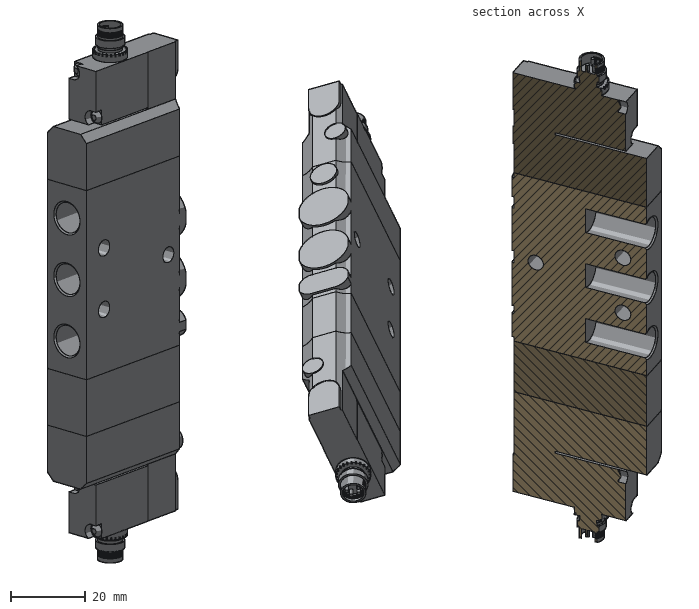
import cadquery as cq
import math

TOTAL_LENGTH = 152.4
STACK_TOP = 50.6
JOINT_Z = 35.0
SPACER_LENGTH = 16.2
VALVE_TOP = JOINT_Z
VALVE_BOTTOM = -JOINT_Z + SPACER_LENGTH
VALVE_MID = (VALVE_TOP + VALVE_BOTTOM) / 2

WIDTH = 14.0
HALF_WIDTH = WIDTH / 2
DEPTH = 39.8
SHOULDER_Y = 37.8
CREST_HALF_WIDTH = 3.4
FLANK_RADIUS = 6.9
END_CHAMFER = 2.1

PORT_DIAMETER = 8.5
PORT_RIM_DIAMETER = 9.5
PORT_DEPTH = 18.3
PORT_PITCH = 17.5
FRONT_MOUNT_DIAMETER = 4.5
FRONT_MOUNT_Y = 7.2
REAR_MOUNT_DIAMETER = 4.4
REAR_MOUNT_Y = 33.2
PAD_Y = 40.4
PAD_ROOT_Y = 36.5
PAD_DIAMETER = 14.5
PAD_CENTERS_Z = [VALVE_MID + PORT_PITCH / 2, VALVE_MID - PORT_PITCH / 2]
ROUND_PAD_DIAMETER = 7.6
ROUND_PAD_Z = 30.3
SLOT_PAD_Z = -13.7

COIL_WIDTH = 9.8
COIL_FRONT = 6.2
COIL_TOP = 66.9
COIL_BASE_FRONT = 27.5
COIL_BASE_STEP = 0.08
COIL_GAP = 0.5
COVER_Y = 40.1
COVER_WIDTH = 8.8
COVER_LENGTH = 12.3
BUTTON_DIAMETER = 6.0
BUTTON_X = -3.2
BUTTON_Z = 47.0

SCREW_X = 3.2
SCREW_INSET_Z = 2.0
SCREW_POCKET_DIAMETER = 4.4
SCREW_POCKET_DEPTH = 2.3
SCREW_HEAD_DIAMETER = 3.7
SCREW_TIP_DIAMETER = 1.5
SCREW_HEAD_HEIGHT = 1.2

PLUG_Y = 17.5
PLUG_TOP = TOTAL_LENGTH / 2
PLUG_DIAMETER = 6.9
COLLAR_DIAMETER = 9.5
COLLAR_FOOT_RADIUS = 0.3
COLLAR_TOP = 69.2
NECK_DIAMETER = 6.5
NECK_TOP = 70.0
RING_DIAMETER = 8.0
RING_BOTTOM = 70.7
RING_TOP = 72.8
NOTCH_COUNT = 24
NOTCH_WIDTH = 0.3
NOTCH_DEPTH = 0.5
NOTCH_HEIGHT = 0.6
SOCKET_DIAMETER = 5.8
SOCKET_DEPTH = 3.0
PIN_DIAMETER = 1.0
PIN_HEIGHT = 2.1
PIN_PLACES = [(-1.7, 0.5), (1.7, 0.5), (-1.0, -1.4), (1.0, -1.4)]
THREAD_DEPTH = 0.3
THREAD_WIDTH = 0.3
THREAD_PITCH = 0.6
THREAD_COUNT = 3
THREAD_START = 73.5
THREAD_BACK = 0.9


def block(x_size, y_min, y_max, z_min, z_max):
    """Box centred on X = 0."""
    box = cq.Workplane("XY").box(x_size, y_max - y_min, z_max - z_min, centered=(True, False, False))
    return box.translate((0, y_min, z_min))


def rod_y(diameter, x, z, y_min, y_max):
    """Cylinder along Y."""
    return cq.Workplane("XZ", origin=(x, y_min, z)).circle(diameter / 2).extrude(y_min - y_max)


def cone_y(front_diameter, rear_diameter, x, z, y_min, y_max):
    """Cone frustum along Y."""
    place = cq.Vector(x, y_min, z)
    along_y = cq.Vector(0, 1, 0)
    return cq.Workplane(
        cq.Solid.makeCone(front_diameter / 2, rear_diameter / 2, y_max - y_min, place, along_y)
    )


def rod_z(diameter, z_min, z_max, x=0.0, y=PLUG_Y):
    """Cylinder along Z, on the plug axis unless placed elsewhere."""
    return cq.Workplane("XY", origin=(x, y, z_min)).circle(diameter / 2).extrude(z_max - z_min)


def stack_segment(z_min, z_max):
    """Piece of the stack: a bar whose rear rises in two hollow flanks to a flat crest."""
    return (
        cq.Workplane("XY", origin=(0, 0, z_min))
        .moveTo(-HALF_WIDTH, 0)
        .lineTo(HALF_WIDTH, 0)
        .lineTo(HALF_WIDTH, SHOULDER_Y)
        .radiusArc((CREST_HALF_WIDTH, DEPTH), FLANK_RADIUS)
        .lineTo(-CREST_HALF_WIDTH, DEPTH)
        .radiusArc((-HALF_WIDTH, SHOULDER_Y), FLANK_RADIUS)
        .close()
        .extrude(z_max - z_min)
    )


def add_pads(body):
    """Round and slotted pads on the rear, trimmed flush with the sides."""
    slot_pad = (
        cq.Workplane("XZ", origin=(0, PAD_ROOT_Y, SLOT_PAD_Z))
        .slot2D(PAD_DIAMETER, ROUND_PAD_DIAMETER)
        .extrude(PAD_ROOT_Y - PAD_Y)
    )
    pads = slot_pad.union(rod_y(ROUND_PAD_DIAMETER, 0, ROUND_PAD_Z, PAD_ROOT_Y, PAD_Y))
    for z in PAD_CENTERS_Z:
        pads = pads.union(rod_y(PAD_DIAMETER, 0, z, PAD_ROOT_Y, PAD_Y))
    envelope = block(WIDTH, 0, PAD_Y, VALVE_BOTTOM, VALVE_TOP)
    return body.union(pads.intersect(envelope))


def cut_ports(body):
    """Three blind ports in the front, each with a chamfered rim."""
    rim = (PORT_RIM_DIAMETER - PORT_DIAMETER) / 2
    for i in (-1, 0, 1):
        z = VALVE_MID + i * PORT_PITCH
        body = body.cut(rod_y(PORT_DIAMETER, 0, z, 0, PORT_DEPTH))
        body = body.cut(cone_y(PORT_RIM_DIAMETER, PORT_DIAMETER, 0, z, 0, rim))
    return body


def cut_mounting_holes(body):
    """Three holes across the width."""
    holes = [
        (FRONT_MOUNT_DIAMETER, FRONT_MOUNT_Y, VALVE_MID + PORT_PITCH / 2),
        (FRONT_MOUNT_DIAMETER, FRONT_MOUNT_Y, VALVE_MID - PORT_PITCH / 2),
        (REAR_MOUNT_DIAMETER, REAR_MOUNT_Y, VALVE_MID),
    ]
    for diameter, y, z in holes:
        hole = cq.Workplane("YZ", origin=(-HALF_WIDTH, y, z)).circle(diameter / 2).extrude(WIDTH)
        body = body.cut(hole)
    return body


def make_valve_body():
    body = add_pads(stack_segment(VALVE_BOTTOM, VALVE_TOP))
    return cut_mounting_holes(cut_ports(body))


def make_spacer():
    return stack_segment(-JOINT_Z, VALVE_BOTTOM)


def end_block():
    """End of the stack with its two outer side edges chamfered and a rear button."""
    body = stack_segment(JOINT_Z, STACK_TOP)
    edge = [
        (HALF_WIDTH, STACK_TOP - END_CHAMFER),
        (HALF_WIDTH, STACK_TOP),
        (HALF_WIDTH - END_CHAMFER, STACK_TOP),
    ]
    for side in (-1, 1):
        wedge = cq.Workplane("XZ").polyline([(side * x, z) for x, z in edge]).close().extrude(-DEPTH)
        body = body.cut(wedge)
    return body.union(rod_y(BUTTON_DIAMETER, BUTTON_X, BUTTON_Z, PAD_ROOT_Y, COVER_Y))


def solenoid():
    """Coil on its base, with a round-ended cover on the rear."""
    base_width = COIL_WIDTH - 2 * COIL_BASE_STEP
    base_envelope = block(base_width, COIL_BASE_FRONT, DEPTH, STACK_TOP, COIL_TOP)
    base = stack_segment(STACK_TOP, COIL_TOP).intersect(base_envelope)
    coil = block(COIL_WIDTH, COIL_FRONT, COIL_BASE_FRONT, STACK_TOP + COIL_GAP, COIL_TOP)
    cover_arc_z = COIL_TOP - COVER_LENGTH + COVER_WIDTH / 2
    cover = block(COVER_WIDTH, PAD_ROOT_Y, COVER_Y, cover_arc_z, COIL_TOP)
    cover = cover.union(rod_y(COVER_WIDTH, 0, cover_arc_z, PAD_ROOT_Y, COVER_Y))
    return base.union(coil).union(cover)


def add_screw(body, x, z):
    """Corner pocket holding a cone-shaped screw head."""
    floor = COIL_FRONT + SCREW_POCKET_DEPTH
    body = body.cut(rod_y(SCREW_POCKET_DIAMETER, x, z, COIL_FRONT, floor))
    pocket_radius = SCREW_POCKET_DIAMETER / 2
    side_x = math.copysign(COIL_WIDTH / 2, x)
    side_opening = block(abs(side_x - x), COIL_FRONT, floor, z - pocket_radius, z + pocket_radius)
    side_opening = side_opening.translate(((side_x + x) / 2, 0, 0))
    body = body.cut(side_opening)
    return body.union(cone_y(SCREW_TIP_DIAMETER, SCREW_HEAD_DIAMETER, x, z, floor - SCREW_HEAD_HEIGHT, floor))


def plug_collar():
    """Collar with a rounded foot and a notched upper rim."""
    collar = rod_z(COLLAR_DIAMETER, COIL_TOP, COLLAR_TOP).faces("<Z").edges().fillet(COLLAR_FOOT_RADIUS)
    notch = block(NOTCH_WIDTH, -NOTCH_DEPTH, NOTCH_DEPTH, COLLAR_TOP - NOTCH_HEIGHT, COLLAR_TOP)
    notch = notch.translate((0, COLLAR_DIAMETER / 2, 0))
    for i in range(NOTCH_COUNT):
        cutter = notch.rotate((0, 0, 0), (0, 0, 1), i * 360 / NOTCH_COUNT)
        collar = collar.cut(cutter.translate((0, PLUG_Y, 0)))
    return collar


def cut_threads(plug):
    """Short thread grooves around the front half of the plug tip."""
    front_half = block(WIDTH, 0, PLUG_Y + THREAD_BACK, RING_TOP, PLUG_TOP)
    for i in range(THREAD_COUNT):
        z = THREAD_START + i * THREAD_PITCH
        groove = rod_z(PLUG_DIAMETER, z, z + THREAD_WIDTH).cut(
            rod_z(PLUG_DIAMETER - 2 * THREAD_DEPTH, z, z + THREAD_WIDTH)
        )
        plug = plug.cut(groove.intersect(front_half))
    return plug


def connector():
    """Round plug with a pin socket in its end."""
    socket_floor = PLUG_TOP - SOCKET_DEPTH
    plug = plug_collar()
    plug = plug.union(rod_z(NECK_DIAMETER, COLLAR_TOP, NECK_TOP))
    plug = plug.union(rod_z(PLUG_DIAMETER, NECK_TOP, PLUG_TOP))
    plug = plug.union(rod_z(RING_DIAMETER, RING_BOTTOM, RING_TOP))
    plug = cut_threads(plug)
    plug = plug.cut(rod_z(SOCKET_DIAMETER, socket_floor, PLUG_TOP))
    for x, y in PIN_PLACES:
        plug = plug.union(rod_z(PIN_DIAMETER, socket_floor, socket_floor + PIN_HEIGHT, x, PLUG_Y + y))
    return plug


def make_pilot_end():
    coil = add_screw(solenoid(), -SCREW_X, COIL_TOP - SCREW_INSET_Z)
    coil = add_screw(coil, SCREW_X, STACK_TOP + COIL_GAP + SCREW_INSET_Z)
    return end_block().union(coil).union(connector())


valve_body = make_valve_body()
spacer = make_spacer()

upper_pilot_end = make_pilot_end()
pilot_ends = [upper_pilot_end.rotate((0, 0, 0), (0, 1, 0), angle) for angle in (0, 180)]

result = cq.Compound.makeCompound([valve_body.val(), spacer.val(), *[end.val() for end in pilot_ends]])